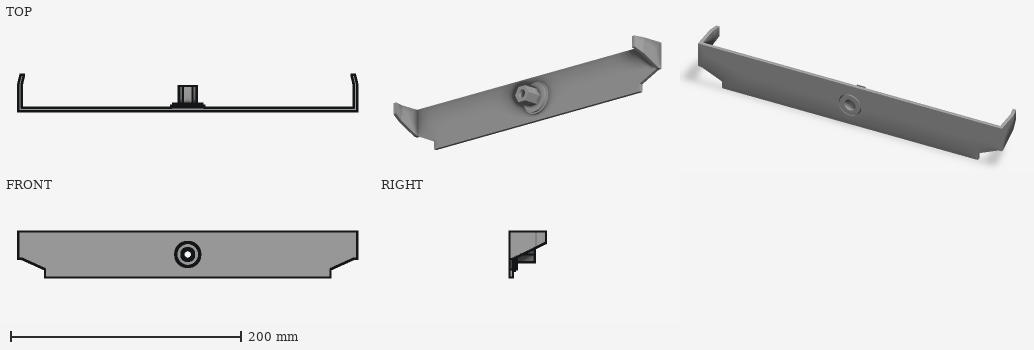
import cadquery as cq

LENGTH = 295.0
HEIGHT = 40.0
DEPTH = 32.0
THICKNESS = 3.2
ARM_BEND_Y = 23.0
ARM_TIP_LEAN = 2.0
ARM_END_HEIGHT = 10.0
CORNER_HEIGHT = 24.0
NOTCH_LENGTH = 23.3
NOTCH_HEIGHT = 33.0

AXIS_Z = HEIGHT / 2
PLATE_HOLE_RADIUS = 11.0
BOSS_RADIUS = 10.0
WASHER_RADIUS = 14.5
WASHER_THICKNESS = 1.8
FLANGE_RADIUS = 13.0
FLANGE_THICKNESS = 1.8
HEX_ACROSS_CORNERS = 16.0
FASTENER_LENGTH = 22.0
FRONT_BORE_RADIUS = 5.5
FRONT_BORE_DEPTH = 17.7
REAR_BORE_RADIUS = 3.8

WASHER_BACK_Y = THICKNESS + WASHER_THICKNESS
FLANGE_BACK_Y = WASHER_BACK_Y + FLANGE_THICKNESS


def axis_plane(y):
    """Plane across the fastener axis at y, with its normal toward +Y."""
    return cq.Workplane(cq.Plane(origin=(0, y, AXIS_Z), xDir=(1, 0, 0), normal=(0, 1, 0)))


def cylinder(radius, y_start, y_end):
    return axis_plane(y_start).circle(radius).extrude(y_end - y_start)


def make_bracket():
    half = LENGTH / 2
    inner = half - THICKNESS
    strip = (
        cq.Workplane("XY")
        .polyline([
            (-half, 0),
            (half, 0),
            (half, ARM_BEND_Y),
            (half - ARM_TIP_LEAN, DEPTH),
            (inner - ARM_TIP_LEAN, DEPTH),
            (inner, ARM_BEND_Y),
            (inner, THICKNESS),
            (-inner, THICKNESS),
            (-inner, ARM_BEND_Y),
            (-inner + ARM_TIP_LEAN, DEPTH),
            (-half + ARM_TIP_LEAN, DEPTH),
            (-half, ARM_BEND_Y),
        ])
        .close()
        .extrude(HEIGHT)
    )
    tab_half = half - NOTCH_LENGTH
    corner_z = HEIGHT - CORNER_HEIGHT
    notch_z = HEIGHT - NOTCH_HEIGHT
    front_outline = (
        cq.Workplane("XZ")
        .polyline([
            (-half, HEIGHT),
            (-half, corner_z),
            (-inner, corner_z),
            (-tab_half, notch_z),
            (-tab_half, 0),
            (tab_half, 0),
            (tab_half, notch_z),
            (inner, corner_z),
            (half, corner_z),
            (half, HEIGHT),
        ])
        .close()
        .extrude(-THICKNESS)
    )
    arm_outline = (
        cq.Workplane("YZ", origin=(-half, 0, 0))
        .polyline([
            (THICKNESS, HEIGHT),
            (THICKNESS, corner_z),
            (DEPTH, HEIGHT - ARM_END_HEIGHT),
            (DEPTH, HEIGHT),
        ])
        .close()
        .extrude(LENGTH)
    )
    hole = cylinder(PLATE_HOLE_RADIUS, 0, THICKNESS)
    return strip.intersect(front_outline.union(arm_outline)).cut(hole)


def make_washer():
    ring = cylinder(WASHER_RADIUS, THICKNESS, WASHER_BACK_Y)
    return ring.cut(cylinder(BOSS_RADIUS, THICKNESS, WASHER_BACK_Y))


def make_fastener():
    boss = cylinder(BOSS_RADIUS, 0, WASHER_BACK_Y)
    flange = cylinder(FLANGE_RADIUS, WASHER_BACK_Y, FLANGE_BACK_Y)
    hex_body = (
        axis_plane(FLANGE_BACK_Y)
        .polygon(6, HEX_ACROSS_CORNERS)
        .extrude(FASTENER_LENGTH - FLANGE_BACK_Y)
    )
    front_bore = cylinder(FRONT_BORE_RADIUS, 0, FRONT_BORE_DEPTH)
    rear_bore = cylinder(REAR_BORE_RADIUS, FRONT_BORE_DEPTH, FASTENER_LENGTH)
    return boss.union(flange).union(hex_body).cut(front_bore).cut(rear_bore)


bracket = make_bracket()
washer = make_washer()
fastener = make_fastener()

result = cq.Compound.makeCompound([bracket.val(), washer.val(), fastener.val()])